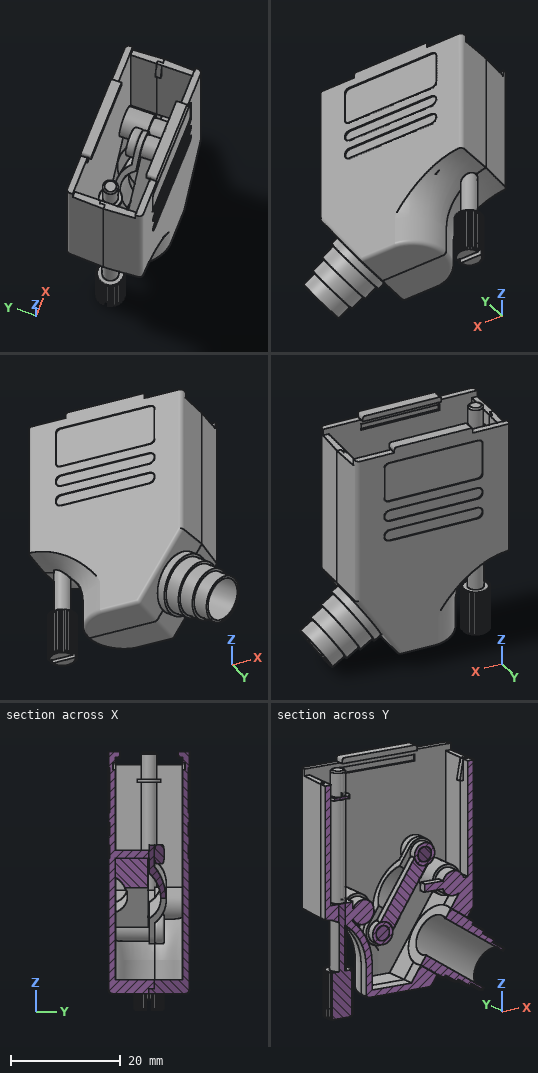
import cadquery as cq
import math

half_width = 16.05
half_depth = 7.4
side_draft = 0.35
top_z = 43.1
edge_round = 0.8
shoulder_z = 13.95
slant_foot_x = 6.85

outlet_x = 0.2
outlet_radius = 7.5
flare_start_z = 6.15
flare_radius = 10.25

wall = 1.4
broad_wall = 1.3
slant_wall = 4.35
side_top_z = 41.8
shelf_z = 18.9
shelf_edge_x = -9.95
tongue_inset = 0.85
tongue_height = 1.05

tab_half_length = 8.02
tab_height = 1.1
tab_depth = 2.1
tab_round = 0.45
groove_half_length = 8.02
groove_z = 40.9
groove_height = 1.25
groove_depth = 0.45

panel_length = 20.1
panel_depth = 0.25
label_z = 37.15
label_height = 8.05
label_round = 0.95
grip_height = 2.25
grip_z = (30.05, 25.9)

left_post = cq.Vector(-7.8, 0, 16.5)
right_post = cq.Vector(11.6, 0, 18.97)
front_post_radius = 2.4
back_post_radius = 2.95

rib_start_x = 5.45
rib_thickness = 1.6

wedge_length = 4.1
wedge_height = 0.75

clamp_x = 0.95
clamp_z = 18.65
clamp_screw_spacing = 16.35
strap_thickness = 1.05
strap_half_width = 2.7
arch_half_span = 4.63
arch_rise = 2.12
boss_radius = 2.2
block_thickness = 3.3
block_gap = 0.15
block_arch_radius = 3.78
block_arch_top = 2.15

clamp_head_radius = 2.75
clamp_head_height = 1.75
clamp_head_round = 0.45
clamp_shank_radius = 1.35
clamp_shank_length = 5.65

gland_protrusion = 10.55
gland_step_length = 2.95
gland_radii = (6.0, 5.48, 5.0, 4.5)
gland_bore_radius = 4.0

screw_x = -12.3
screw_bottom_z = -3.0
head_length = 9.0
head_radius = 2.7
head_chamfer = 0.35
shank_radius = 1.55
thread_radius = 1.4
tip_z = 44.05
tip_chamfer = 0.35
collar_radius = 2.12
collar_height = 0.55
collar_z = 38.6
knurl_count = 24
knurl_depth = 0.3
knurl_width = 0.35
drive_slot_width = 1.0
drive_slot_depth = 2.0

slant_run = half_width - slant_foot_x
slant_length = math.hypot(slant_run, shoulder_z)
slant_along = cq.Vector(slant_run / slant_length, 0, shoulder_z / slant_length)
slant_out = cq.Vector(slant_along.z, 0, -slant_along.x)
slant_middle = cq.Vector((half_width + slant_foot_x) / 2, 0, shoulder_z / 2)
inner_half_depth = half_depth - broad_wall
inner_half_width = half_width - wall
clamp_center = cq.Vector(clamp_x, 0, clamp_z)
clamp_screw_centers = [clamp_center + slant_along * (side * clamp_screw_spacing / 2) for side in (-1, 1)]


def slab(y_min, y_max):
    """Workplane facing -Y at y_max, and the depth from there to y_min."""
    return cq.Workplane("XZ", origin=(0, y_max, 0)), y_max - y_min


def prism(points, y_min, y_max):
    """Polygon in XZ extruded from y_min to y_max."""
    plane, depth = slab(y_min, y_max)
    return plane.polyline(points).close().extrude(depth)


def rod(center, radius, y_min, y_max):
    """Cylinder along Y through a point."""
    plane, depth = slab(y_min, y_max)
    return plane.center(center.x, center.z).circle(radius).extrude(depth)


def box(x_min, x_max, y_min, y_max, z_min, z_max):
    size = (x_max - x_min, y_max - y_min, z_max - z_min)
    return cq.Workplane("XY").box(*size, centered=False).translate((x_min, y_min, z_min))


def slant_x(z, inset):
    """X of a plane parallel to the slanted wall, moved inward by inset."""
    return slant_foot_x + z * slant_run / shoulder_z - inset / slant_out.x


def slant_z(x, inset):
    """Height at which that plane reaches x."""
    return (x - slant_x(0, inset)) * shoulder_z / slant_run


def flare_exterior(inset):
    """Space outside the round-footed straight outlet and its flare, for a surface moved inward by inset."""
    arc_radius = flare_radius + inset
    neck = outlet_radius - inset
    arc_center = outlet_radius + flare_radius
    reach = 3 * half_width
    below = -wall
    diagonal = arc_radius * math.sqrt(0.5)
    foot_inset = edge_round * (1 - math.sqrt(0.5))
    profile = (
        cq.Workplane("XZ")
        .moveTo(-neck + edge_round, below)
        .lineTo(-neck + edge_round, 0)
        .threePointArc((-neck + foot_inset, foot_inset), (-neck, edge_round))
        .lineTo(-neck, flare_start_z)
        .threePointArc(
            (-arc_center + diagonal, flare_start_z + diagonal),
            (-arc_center, flare_start_z + arc_radius),
        )
        .lineTo(-reach, flare_start_z + arc_radius)
        .lineTo(-reach, below)
        .close()
    )
    ring = profile.revolve(360, (0, 0, 0), (0, 1, 0)).translate((outlet_x, 0, 0))
    left_side = box(-reach, outlet_x, -reach, reach, below, top_z)
    return ring.intersect(left_side)


def outer_body():
    """Solid hood with drafted sides, rounded edges and the flared outlet."""
    outline = [
        (-half_width, 0),
        (slant_foot_x, 0),
        (half_width, shoulder_z),
        (half_width, top_z),
        (-half_width, top_z),
    ]
    face_half_width = half_width - side_draft
    plan = [
        (-half_width, 0),
        (-face_half_width, -half_depth),
        (face_half_width, -half_depth),
        (half_width, 0),
        (face_half_width, half_depth),
        (-face_half_width, half_depth),
    ]
    column = cq.Workplane("XY").polyline(plan).close().extrude(top_z)
    body = prism(outline, -half_depth, half_depth).intersect(column)
    broad_edges = body.faces("<Y or >Y").edges("not >Z").vals()
    foot_edge = body.edges(cq.selectors.NearestToPointSelector((slant_foot_x, 0, 0))).vals()
    rounded = cq.Workplane(body.val().fillet(edge_round, broad_edges + foot_edge))
    return rounded.cut(flare_exterior(0))


def latch_tab():
    """Tab on the broad wall at -Y, reaching in over the connector bay."""
    tab = box(
        -tab_half_length,
        tab_half_length,
        -half_depth,
        tab_depth - half_depth,
        top_z,
        top_z + tab_height,
    )
    return tab.edges(">Z and (<X or >X)").fillet(tab_round)


def latch_groove():
    """Groove in the inside of the broad wall at -Y, just under its tab."""
    return box(
        -groove_half_length,
        groove_half_length,
        -inner_half_depth - groove_depth,
        -inner_half_depth,
        groove_z,
        groove_z + groove_height,
    )


def face_recesses():
    """Label panel and grip slots, cut into the broad face at -Y."""
    plane = cq.Workplane("XZ", origin=(0, -half_depth + panel_depth, 0))
    label = plane.center(0, label_z).rect(panel_length, label_height).extrude(2 * panel_depth)
    recesses = label.edges("|Y").fillet(label_round)
    for z in grip_z:
        grip = plane.center(0, z).slot2D(panel_length, grip_height).extrude(2 * panel_depth)
        recesses = recesses.union(grip)
    return recesses


def both_faces(shape):
    """A shape at the -Y face together with its mirror image at the +Y face."""
    return shape.union(shape.mirror("XZ"))


def cavity():
    """Inside of the hood: connector bay, side shelf and the rounded, slanted lower chamber."""
    outline = [
        (-inner_half_width, top_z),
        (-inner_half_width, shelf_z),
        (shelf_edge_x, shelf_z),
        (shelf_edge_x, wall),
        (slant_x(wall, slant_wall), wall),
        (inner_half_width, slant_z(inner_half_width, slant_wall)),
        (inner_half_width, top_z),
    ]
    inside = prism(outline, -inner_half_depth, inner_half_depth).cut(flare_exterior(wall))
    lowered_sides = box(
        -half_width, half_width, -inner_half_depth, inner_half_depth, side_top_z, top_z
    )
    return inside.union(lowered_sides)


def front_rib():
    """Level rib through the right-hand post, from under the upper clamp boss to the side wall."""
    return box(
        rib_start_x,
        inner_half_width,
        -inner_half_depth,
        0,
        right_post.z - rib_thickness / 2,
        right_post.z + rib_thickness / 2,
    )


def seam_wedge():
    """Wedge that grows out of the right-hand tongue from the top of the side wall downward."""
    profile = [
        (inner_half_width, side_top_z),
        (inner_half_width, side_top_z - wedge_length),
        (inner_half_width - wedge_height, side_top_z - wedge_length),
    ]
    return prism(profile, 0, tongue_height)


def front_side():
    """The space of the front shell: all below the seam, plus a tongue inside the outer skin."""
    low_half = box(-half_width, half_width, -half_depth, 0, 0, top_z + tab_height)
    outline = [
        (tongue_inset - half_width, tongue_inset),
        (slant_x(tongue_inset, tongue_inset), tongue_inset),
        (half_width - tongue_inset, slant_z(half_width - tongue_inset, tongue_inset)),
        (half_width - tongue_inset, top_z),
        (tongue_inset - half_width, top_z),
    ]
    tongue = prism(outline, -half_depth, tongue_height).cut(flare_exterior(tongue_inset))
    return low_half.union(tongue)


def gland_cylinder(radius, start, end):
    """Cylinder along the gland axis, from start to end measured outward from the slanted face."""
    plane = cq.Plane(
        origin=(slant_middle + slant_out * start).toTuple(),
        xDir=slant_along.toTuple(),
        normal=slant_out.toTuple(),
    )
    return cq.Workplane(plane).circle(radius).extrude(end - start)


def screw_rod(radius, z_min, z_max):
    return cq.Workplane("XY", origin=(screw_x, 0, z_min)).circle(radius).extrude(z_max - z_min)


def hollow_hood():
    """Both shells in one piece, without posts or clamp bosses."""
    hood = outer_body().cut(cavity())
    hood = hood.union(both_faces(latch_tab()))
    hood = hood.cut(both_faces(latch_groove()))
    hood = hood.cut(both_faces(face_recesses()))
    return hood.cut(gland_cylinder(gland_radii[0], -slant_wall, slant_wall))


def front_shell(hood):
    shell = hood.intersect(front_side()).union(front_rib()).union(seam_wedge())
    for center in (left_post, right_post):
        shell = shell.union(rod(center, front_post_radius, -inner_half_depth, tongue_height))
    for center in clamp_screw_centers:
        shell = shell.union(rod(center, boss_radius, -inner_half_depth, 0))
    for center in clamp_screw_centers:
        shell = shell.cut(rod(center, clamp_shank_radius, -clamp_shank_length, 0))
    return shell.cut(screw_rod(shank_radius, 0, shelf_z))


def back_shell(hood):
    shell = hood.cut(front_side())
    for center in (left_post, right_post):
        shell = shell.union(rod(center, back_post_radius, tongue_height, inner_half_depth))
    return shell.cut(screw_rod(shank_radius, 0, shelf_z))


def clamp_plane():
    """Plane with X along the clamp, Y along +Y and its normal pointing away from the gland."""
    return cq.Plane(
        origin=clamp_center.toTuple(), xDir=slant_along.toTuple(), normal=(-slant_out).toTuple()
    )


def bridge(half_length):
    """Strap material within half_length of its middle: two flats joined by an arch over the cable."""
    outer_rise = arch_rise + strap_thickness
    outer_span = arch_half_span + strap_thickness / 2
    inner_span = arch_half_span - strap_thickness / 2
    return (
        cq.Workplane(clamp_plane())
        .moveTo(-half_length, 0)
        .lineTo(-inner_span, 0)
        .threePointArc((0, arch_rise), (inner_span, 0))
        .lineTo(half_length, 0)
        .lineTo(half_length, strap_thickness)
        .lineTo(outer_span, strap_thickness)
        .threePointArc((0, outer_rise), (-outer_span, strap_thickness))
        .lineTo(-half_length, strap_thickness)
        .close()
        .extrude(strap_half_width, both=True)
    )


def clamp_strap():
    strap = bridge(clamp_screw_spacing / 2)
    for center in clamp_screw_centers:
        strap = strap.union(rod(center, strap_half_width, 0, strap_thickness))
    for center in clamp_screw_centers:
        strap = strap.cut(rod(center, clamp_shank_radius, 0, strap_thickness))
    return strap


def clamp_block():
    """Block between the bosses, under the strap, with an arched passage along the broad wall."""
    height = inner_half_depth - block_gap
    plane = cq.Workplane(clamp_plane())
    block = plane.center(0, -block_gap - height / 2).rect(clamp_screw_spacing, height)
    block = block.extrude(block_thickness / 2, both=True)
    arch_center = -inner_half_depth + block_arch_top - block_arch_radius
    block = block.cut(
        plane.center(0, arch_center).circle(block_arch_radius).extrude(block_thickness, both=True)
    )
    for center in clamp_screw_centers:
        block = block.cut(rod(center, boss_radius, -inner_half_depth, 0))
    return block


def clamp_screw(center):
    head_top = strap_thickness + clamp_head_height
    head = rod(center, clamp_head_radius, strap_thickness, head_top)
    head = head.edges().fillet(clamp_head_round)
    return head.union(rod(center, clamp_shank_radius, -clamp_shank_length, strap_thickness))


def gland():
    """Stepped sleeve that starts at the inside of the slanted wall."""
    sleeve = gland_cylinder(gland_radii[-1], -slant_wall, gland_protrusion)
    end = gland_protrusion
    for radius in reversed(gland_radii):
        sleeve = sleeve.union(gland_cylinder(radius, -slant_wall, end))
        end -= gland_step_length
    return sleeve.cut(gland_cylinder(gland_bore_radius, -slant_wall, gland_protrusion))


def knurled_head():
    head = screw_rod(head_radius, screw_bottom_z, screw_bottom_z + head_length)
    head = head.faces("<Z").chamfer(head_chamfer)
    grooves = (
        cq.Workplane("XY", origin=(screw_x, 0, screw_bottom_z))
        .polarArray(head_radius, 0, 360, knurl_count)
        .rect(2 * knurl_depth, knurl_width)
        .extrude(head_length)
    )
    drive_slot = box(
        screw_x - head_radius,
        screw_x + head_radius,
        -drive_slot_width / 2,
        drive_slot_width / 2,
        screw_bottom_z,
        screw_bottom_z + drive_slot_depth,
    )
    return head.cut(grooves).cut(drive_slot)


def thumbscrew():
    head_top = screw_bottom_z + head_length
    thread = screw_rod(thread_radius, shelf_z, tip_z).faces(">Z").chamfer(tip_chamfer)
    collar = screw_rod(collar_radius, collar_z, collar_z + collar_height)
    return knurled_head().union(screw_rod(shank_radius, head_top, shelf_z)).union(collar).union(thread)


hood = hollow_hood()
result = cq.Compound.makeCompound(
    [
        front_shell(hood).val(),
        back_shell(hood).val(),
        clamp_strap().val(),
        clamp_block().val(),
        *[clamp_screw(center).val() for center in clamp_screw_centers],
        gland().val(),
        thumbscrew().val(),
    ]
)